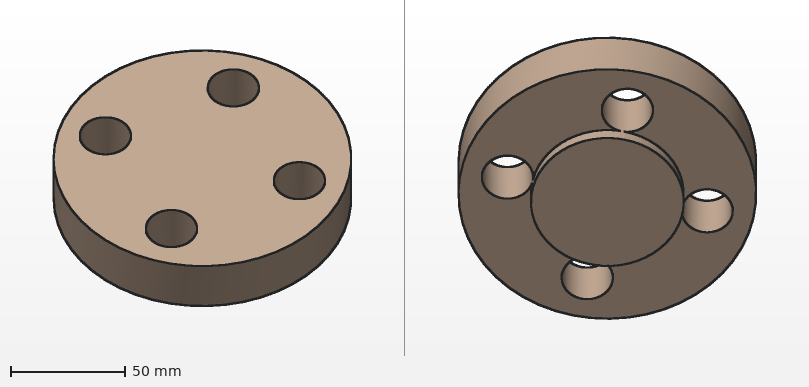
import cadquery as cq

flange_diameter = 130.0
total_height = 31.7
raised_face_height = 6.4
flange_thickness = total_height - raised_face_height

raised_face_diameter = 66.7

bolt_hole_count = 4
bolt_hole_diameter = 22.4
bolt_circle_diameter = 88.9


def make_raised_face():
    """Round raised face, standing on the XY plane."""
    return cq.Workplane("XY").circle(raised_face_diameter / 2).extrude(raised_face_height)


def make_flange_disc():
    """Plain disc on top of the raised face."""
    return (
        cq.Workplane("XY")
        .workplane(offset=raised_face_height)
        .circle(flange_diameter / 2)
        .extrude(flange_thickness)
    )


def make_bolt_holes():
    """Bolt hole cylinders through the full height, on the X and Y axes."""
    return (
        cq.Workplane("XY")
        .polarArray(bolt_circle_diameter / 2, 0, 360, bolt_hole_count)
        .circle(bolt_hole_diameter / 2)
        .extrude(total_height)
    )


result = make_raised_face().union(make_flange_disc()).cut(make_bolt_holes())